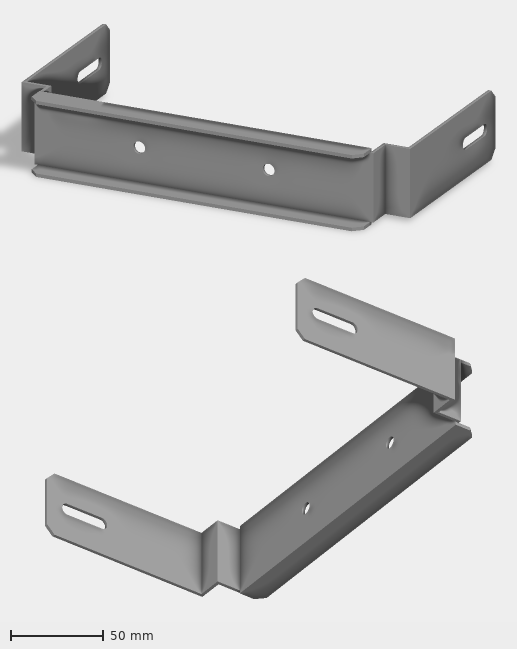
import cadquery as cq

width = 234.0
depth = 132.0
height = 44.0
sheet = 2.0
strip_height = height - 2 * sheet

step_offset = 15.0
web_front = 12.5
step_front = 27.1
web_half = width / 2 - step_offset
web_back = web_front + sheet
step_back = step_front + sheet

flange_length = 2 * (web_half - sheet)
corner_cut = 5.0

hole_diameter = 7.0
hole_spacing = 78.0
slot_length = 30.0
slot_width = 7.0
slot_end_margin = 10.0


def centred_box(x_size, y_min, y_max, z_size):
    """Box centred on X and Z, spanning y_min to y_max."""
    return cq.Workplane("XY").box(x_size, y_max - y_min, z_size).translate((0, (y_min + y_max) / 2, 0))


def make_arm(side):
    """Return, step and slotted arm on one side; side is -1 or 1."""
    return_wall = centred_box(sheet, web_front, step_back, strip_height).translate(
        (side * (web_half - sheet / 2), 0, 0)
    )
    step = centred_box(step_offset + sheet, step_front, step_back, strip_height).translate(
        (side * (width - step_offset - sheet) / 2, 0, 0)
    )
    arm = centred_box(sheet, step_front, depth, strip_height).edges("|X and >Y").chamfer(corner_cut)
    slot_centre = depth - slot_end_margin - slot_length / 2
    slot = (
        cq.Workplane("YZ")
        .center(slot_centre, 0)
        .slot2D(slot_length, slot_width)
        .extrude(sheet, both=True)
    )
    arm = arm.cut(slot).translate((side * (width - sheet) / 2, 0, 0))
    return return_wall.union(step).union(arm)


def make_flange(side):
    """Forward flange above (1) or below (-1) the strip, with cut front corners."""
    flange = centred_box(flange_length, 0, web_back, sheet).edges("|Z and <Y").chamfer(corner_cut)
    return flange.translate((0, 0, side * (height - sheet) / 2))


def make_web():
    """Front web with two round holes."""
    web = centred_box(2 * web_half, web_front, web_back, strip_height)
    holes = (
        cq.Workplane("XZ")
        .pushPoints([(-hole_spacing / 2, 0), (hole_spacing / 2, 0)])
        .circle(hole_diameter / 2)
        .extrude(-depth)
    )
    return web.cut(holes)


result = make_web()
for side in (-1, 1):
    result = result.union(make_arm(side)).union(make_flange(side))